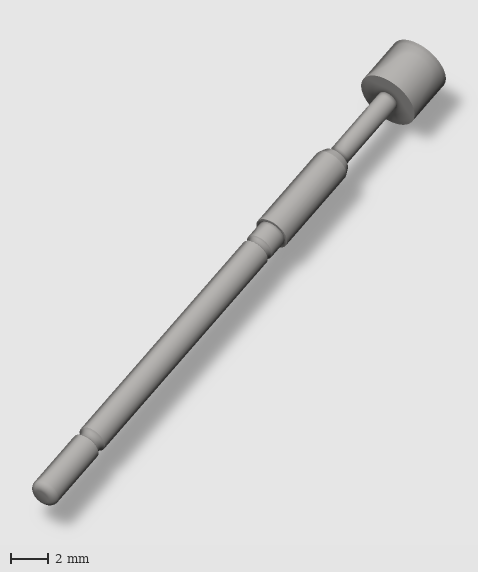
import cadquery as cq

total_length = 36.0
head_length = 3.0
stem_length = 5.0
sleeve_length = 6.1
sleeve_taper_length = 0.45
tip_fillet = 0.4

head_diameter = 3.5
stem_diameter = 1.2
sleeve_diameter = 2.0
sleeve_mouth_diameter = 1.65
body_diameter = 1.65

tip_groove = (4.5, 0.6, 0.15)
sleeve_groove = (20.55, 0.45, 0.1)

head_start = total_length - head_length
sleeve_end = head_start - stem_length
sleeve_start = sleeve_end - sleeve_length


def rod(diameter, start, end):
    """Round bar on the Y axis between two distances from the tip."""
    return cq.Workplane("XZ", origin=(0, start, 0)).circle(diameter / 2).extrude(start - end)


def make_sleeve():
    """Collar that tapers down at its stem end."""
    outer_radius = sleeve_diameter / 2
    return (
        cq.Workplane("XY")
        .moveTo(0, sleeve_start)
        .lineTo(outer_radius, sleeve_start)
        .lineTo(outer_radius, sleeve_end - sleeve_taper_length)
        .lineTo(sleeve_mouth_diameter / 2, sleeve_end)
        .lineTo(0, sleeve_end)
        .close()
        .revolve(360, (0, 0, 0), (0, 1, 0))
    )


def make_groove(center, width, depth):
    """Ring of circular-arc section, used to cut a rounded groove into the body."""
    surface = body_diameter / 2
    return (
        cq.Workplane("XY")
        .moveTo(surface, center - width / 2)
        .threePointArc((surface - depth, center), (surface, center + width / 2))
        .lineTo(sleeve_diameter / 2, center + width / 2)
        .lineTo(sleeve_diameter / 2, center - width / 2)
        .close()
        .revolve(360, (0, 0, 0), (0, 1, 0))
    )


body = rod(body_diameter, 0, sleeve_start).faces("<Y").edges().fillet(tip_fillet)
for groove in (tip_groove, sleeve_groove):
    body = body.cut(make_groove(*groove))

stem = rod(stem_diameter, sleeve_end, head_start)
head = rod(head_diameter, head_start, total_length)

result = body.union(make_sleeve()).union(stem).union(head)